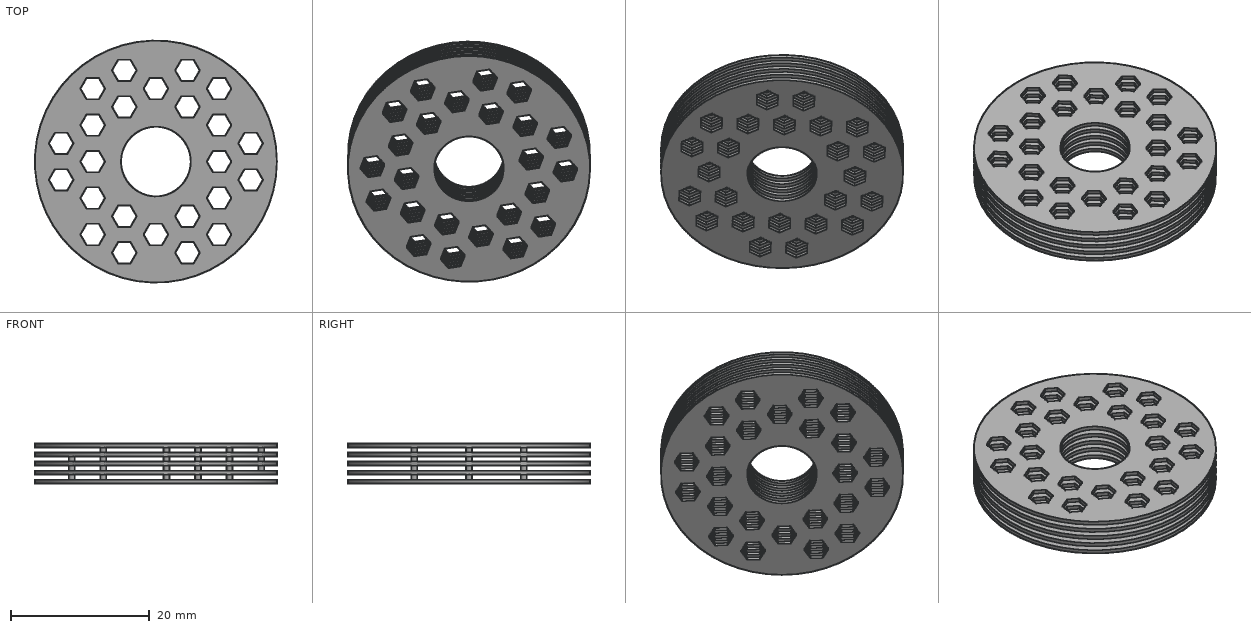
import cadquery as cq
import math

disc_diameter = 34.9
bore_diameter = 10.0
disc_count = 5
disc_thickness = 0.6
disc_gap = 0.7
level_pitch = disc_thickness + disc_gap

hole_corner_diameter = 3.51
column_pitch = 4.55
half_row = column_pitch * math.tan(math.radians(30))

pin_diameter = 0.9
pin_step = column_pitch / 3
pin_row_offset = 3 * half_row

hole_rows_by_column = {0: [4], 1: [3, 5], 2: [0, 2, 4], 3: [1]}

inner_pin_column = 4
paired_pin_columns = [-5, 1, 7]
left_pin_column = -8
right_pin_column = 10


def hole_centers():
    """Centers of all hexagonal holes, mirrored about both axes."""
    centers = set()
    for column, rows in hole_rows_by_column.items():
        for row in rows:
            x = column * column_pitch
            y = row * half_row
            centers.update([(x, y), (-x, y), (x, -y), (-x, -y)])
    return sorted(centers)


def make_disc():
    """One disc with its bore and hexagonal holes, standing on Z = 0."""
    disc = cq.Workplane("XY").circle(disc_diameter / 2).circle(bore_diameter / 2).extrude(disc_thickness)
    holes = (
        cq.Workplane("XY")
        .pushPoints(hole_centers())
        .polygon(6, hole_corner_diameter)
        .extrude(disc_thickness)
    )
    return disc.cut(holes)


def pin_centers(gap_index):
    """Pin positions in one gap, counted from the bottom."""
    columns_on_axis = [inner_pin_column]
    if gap_index > 0:
        columns_on_axis.append(right_pin_column)
    if gap_index < disc_count - 2:
        columns_on_axis.append(left_pin_column)
    centers = [(column * pin_step, 0) for column in columns_on_axis]
    for column in paired_pin_columns:
        for side in (-1, 1):
            centers.append((column * pin_step, side * pin_row_offset))
    return centers


def make_pins(gap_index):
    """Spacer pins that fill the height of one gap."""
    gap_floor = gap_index * level_pitch + disc_thickness
    return (
        cq.Workplane("XY", origin=(0, 0, gap_floor))
        .pushPoints(pin_centers(gap_index))
        .circle(pin_diameter / 2)
        .extrude(disc_gap)
    )


disc = make_disc()
result = disc
for gap_index in range(disc_count - 1):
    next_disc = disc.translate((0, 0, (gap_index + 1) * level_pitch))
    result = result.union(make_pins(gap_index)).union(next_disc)